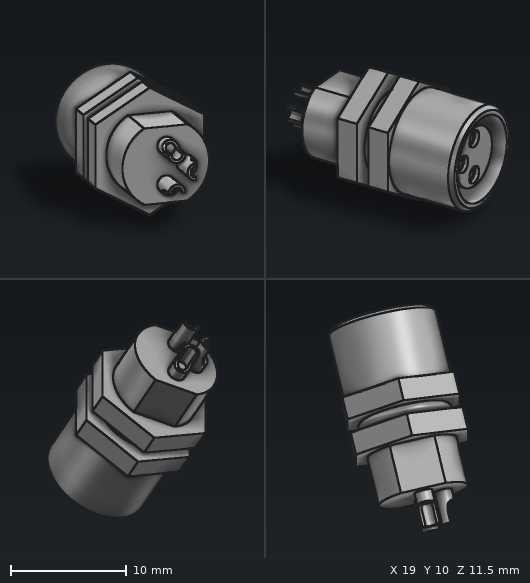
import cadquery as cq
import math


barrel_length = 6.5
hex_thickness = 2.0
seal_gap = 1.2
rear_face = 16.0
cup_end = 19.0
first_hex_start = barrel_length
neck_start = first_hex_start + hex_thickness
second_hex_start = neck_start + seal_gap
rear_start = second_hex_start + hex_thickness

barrel_radius = 4.8
barrel_chamfer = 0.4
hex_across_flats = 10.0
hex_across_corners = hex_across_flats / math.cos(math.radians(30))
rear_radius = 3.99
rear_flat_distance = 6.92

seal_outer_radius = 4.2
seal_section_radius = seal_gap / 2
seal_center_radius = seal_outer_radius - seal_section_radius
neck_radius = seal_outer_radius - seal_gap

bore_radius = 3.99
bore_ledge_depth = 3.8
inner_bore_radius = 3.69
bead_base_depth = 4.75
insert_radius = 2.83
insert_recess = 0.8
bead_section_radius = (inner_bore_radius - insert_radius) / 2
bead_center_radius = (inner_bore_radius + insert_radius) / 2

contact_pitch_radius = 1.75
contact_angles = (-90, 0, 90)
contact_recess_radius = 0.78
contact_recess_depth = 0.44
contact_hole_radius = 0.57
contact_hole_depth = 1.9
drill_half_angle = 59.0

cup_radius = 0.78
cup_bore_radius = 0.5
cup_cut_start = 17.0
cup_fillet_radius = cup_radius


def cylinder(start, length, radius, y=0.0, z=0.0):
    """Cylinder along +X from the station start."""
    return cq.Workplane(cq.Solid.makeCylinder(radius, length, cq.Vector(start, y, z), cq.Vector(1, 0, 0)))


def torus(station, center_radius, section_radius):
    """Full ring around the X axis."""
    return cq.Workplane(
        cq.Solid.makeTorus(center_radius, section_radius, cq.Vector(station, 0, 0), cq.Vector(1, 0, 0))
    )


def hexagon(start):
    """Hexagonal flange with two corners on the Z axis."""
    plate = cq.Workplane("YZ").polygon(6, hex_across_corners).extrude(hex_thickness)
    return plate.rotate((0, 0, 0), (1, 0, 0), 90).translate((start, 0, 0))


def rear_section():
    """Round rear body with flats on top and bottom."""
    length = rear_face - rear_start
    flats = cq.Workplane("XY").box(length, 2 * rear_radius, rear_flat_distance)
    flats = flats.translate((rear_start + length / 2, 0, 0))
    return cylinder(rear_start, length, rear_radius).intersect(flats)


def mating_cavity():
    """Space removed from the barrel around and in front of the insert."""
    cavity = cylinder(0, bore_ledge_depth, bore_radius)
    cavity = cavity.union(cylinder(0, bead_base_depth, inner_bore_radius))
    insert = cylinder(insert_recess, bead_base_depth - insert_recess, insert_radius)
    bead = torus(bead_base_depth, bead_center_radius, bead_section_radius)
    return cavity.cut(insert).cut(bead)


def contact_hole():
    """Recess and drilled hole with a conical bottom, on the +Y contact."""
    hole_start = insert_recess + contact_recess_depth
    hole_end = hole_start + contact_hole_depth
    tip = hole_end + contact_hole_radius / math.tan(math.radians(drill_half_angle))
    profile = [
        (insert_recess, 0),
        (insert_recess, contact_recess_radius),
        (hole_start, contact_recess_radius),
        (hole_start, contact_hole_radius),
        (hole_end, contact_hole_radius),
        (tip, 0),
    ]
    hole = cq.Workplane("XY").polyline(profile).close().revolve(360, (0, 0), (1, 0))
    return hole.translate((0, contact_pitch_radius, 0))


def solder_cup():
    """Pin on the +Y contact whose outward half is cut away to open its bore."""
    pin = cylinder(rear_face, cup_end - rear_face, cup_radius, contact_pitch_radius)
    opening = (
        cq.Workplane("XY")
        .moveTo(cup_cut_start, cup_radius)
        .radiusArc((cup_cut_start + cup_fillet_radius, 0), -cup_fillet_radius)
        .lineTo(cup_end, 0)
        .lineTo(cup_end, cup_radius)
        .close()
        .extrude(cup_radius, both=True)
        .translate((0, contact_pitch_radius, 0))
    )
    bore = cylinder(cup_cut_start, cup_end - cup_cut_start, cup_bore_radius, contact_pitch_radius)
    return pin.cut(opening).cut(bore)


def make_connector():
    """Housing with both hexagons, socket and contacts, as one solid."""
    body = cylinder(0, barrel_length, barrel_radius).faces("<X").chamfer(barrel_chamfer)
    body = body.union(hexagon(first_hex_start))
    body = body.union(cylinder(neck_start, seal_gap, neck_radius))
    body = body.union(hexagon(second_hex_start))
    body = body.union(rear_section())
    body = body.cut(mating_cavity())
    for angle in contact_angles:
        body = body.cut(contact_hole().rotate((0, 0, 0), (1, 0, 0), angle))
        body = body.union(solder_cup().rotate((0, 0, 0), (1, 0, 0), angle))
    return body


def make_o_ring():
    """Sealing ring around the neck."""
    return torus(neck_start + seal_gap / 2, seal_center_radius, seal_section_radius)


connector = make_connector()
o_ring = make_o_ring()

result = cq.Compound.makeCompound([connector.solids().val(), o_ring.val()])